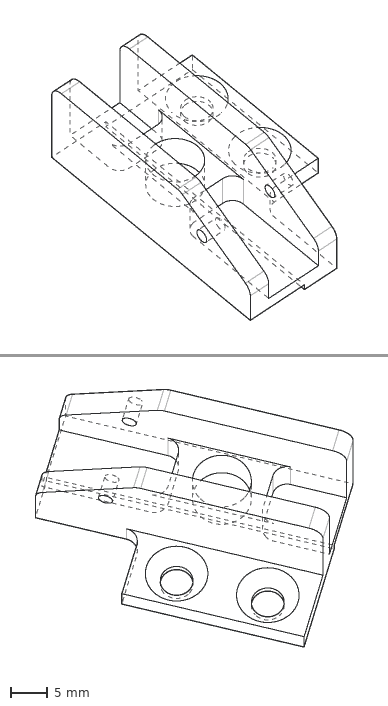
import cadquery as cq
import math

length = 41.0
depth = 26.0
height = 15.5

wall = 3.4
channel_width = 9.2
floor_top = 3.0
body_width = channel_width + 2 * wall
channel_center_y = wall + channel_width / 2

step_height = 1.0
step_width = 10.0

corner_radius = 2.0
slope_angle = 30.0
slope_start_x = 26.53
slope_end_z = height - (length - slope_start_x) * math.tan(math.radians(slope_angle))

pin_diameter = 2.0
pin_x = 31.0
pin_z = 10.0

block_start_x = 10.0
block_end_x = 23.5
block_length = block_end_x - block_start_x
block_center_x = (block_start_x + block_end_x) / 2
block_top = 8.0
block_fillet = 2.0
recess_x = 16.55
recess_diameter = 8.1
recess_depth = block_top - floor_top

flange_length = 26.0
flange_fillet = 2.0
screw_diameter = 4.5
sink_diameter = 8.6
sink_angle = 90.0
screw_xs = (6.5, 19.5)
screw_y = depth - 5.0


def make_body():
    """Solid with the sloped side profile, cut to a U channel."""
    profile = [
        (0, 0),
        (length, 0),
        (length, slope_end_z),
        (slope_start_x, height),
        (0, height),
    ]
    body = cq.Workplane("XZ").polyline(profile).close().extrude(-body_width)
    body = body.edges("|Y except <Z").fillet(corner_radius)
    channel = cq.Workplane("XY").box(length, channel_width, height, centered=False)
    return body.cut(channel.translate((0, wall, floor_top)))


def make_flange():
    """Plate behind the channel, with a fillet where it meets the wall."""
    plate = cq.Workplane("XY").box(flange_length, depth - wall, floor_top, centered=False)
    plate = plate.translate((0, wall, 0))
    corner = (
        cq.Workplane("XY")
        .moveTo(flange_length, body_width)
        .lineTo(flange_length + flange_fillet, body_width)
        .radiusArc((flange_length, body_width + flange_fillet), flange_fillet)
        .close()
        .extrude(floor_top)
    )
    return plate.union(corner)


def make_block():
    """Block across the channel, flaring out where it meets the walls."""
    flared_length = block_length + 2 * block_fillet
    relief_length = 4 * block_fillet
    block = cq.Workplane("XY").box(
        flared_length, channel_width, block_top, centered=(True, True, False)
    )
    for side in (-1, 1):
        relief = (
            cq.Workplane("XY")
            .center(side * (block_length + relief_length) / 2, 0)
            .rect(relief_length, channel_width)
            .extrude(block_top)
            .edges("|Z")
            .fillet(block_fillet)
        )
        block = block.cut(relief)
    return block.translate((block_center_x, channel_center_y, 0))


result = make_body().union(make_flange()).union(make_block())

step = cq.Workplane("XY").box(length, step_width, step_height, centered=False)
result = result.cut(step)

recess = (
    cq.Workplane("XY", origin=(recess_x, channel_center_y, block_top))
    .circle(recess_diameter / 2)
    .extrude(-recess_depth)
)
result = result.cut(recess)

pin_hole = (
    cq.Workplane("XZ", origin=(pin_x, 0, pin_z))
    .circle(pin_diameter / 2)
    .extrude(-body_width)
)
result = result.cut(pin_hole)

result = (
    result.copyWorkplane(cq.Workplane("XY", origin=(0, 0, floor_top)))
    .pushPoints([(x, screw_y) for x in screw_xs])
    .cskHole(screw_diameter, sink_diameter, sink_angle)
)